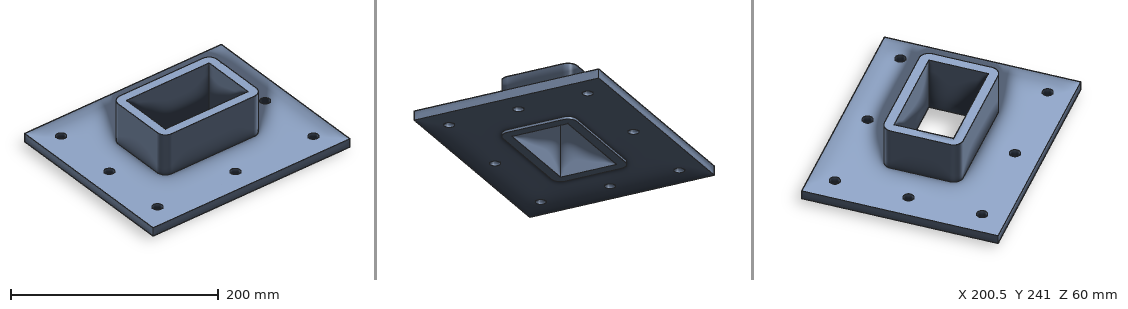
import cadquery as cq

plate_width = 200.5
plate_length = 241.0
plate_thickness = 10.0

wall = 10.0
tube_width = 80.5
tube_length = 121.0
tube_height = 60.0
tube_corner_radius = wall
tube_projection_below = 3.0

hole_diameter = 10.5
hole_edge_distance = 25.0
hole_x = plate_width / 2 - hole_edge_distance
hole_y = plate_length / 2 - hole_edge_distance
hole_points = [
    (column * hole_x, row * hole_y)
    for column in (-1, 0, 1)
    for row in (-1, 0, 1)
    if (column, row) != (0, 0)
]


def make_plate():
    """Flat plate with its underside at Z = 0 and eight bolt holes."""
    plate = cq.Workplane("XY").box(
        plate_width, plate_length, plate_thickness, centered=(True, True, False)
    )
    return plate.faces(">Z").workplane().pushPoints(hole_points).hole(hole_diameter)


def make_block(width, length):
    """Block as tall as the tube, starting at the tube's lower end."""
    return (
        cq.Workplane("XY")
        .workplane(offset=-tube_projection_below)
        .rect(width, length)
        .extrude(tube_height)
    )


tube_outside = make_block(tube_width, tube_length).edges("|Z").fillet(tube_corner_radius)
tube_bore = make_block(tube_width - 2 * wall, tube_length - 2 * wall)

result = make_plate().union(tube_outside).cut(tube_bore)